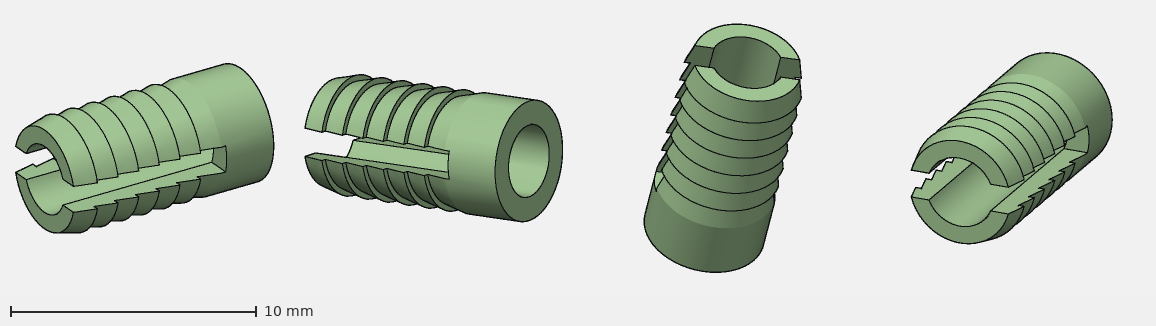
import cadquery as cq

length = 9.5
outer_diameter = 5.0
bore_diameter = 3.0
barb_tip_diameter = 4.5
collar_length = 2.5
barb_count = 7
slot_width = 1.18
slot_length = 7.21

outer_radius = outer_diameter / 2
barb_tip_radius = barb_tip_diameter / 2
bore_radius = bore_diameter / 2
barb_pitch = (length - collar_length) / barb_count


def barbed_sleeve():
    """Revolve the half section about the Y axis; the slotted end lies at Y = 0."""
    profile = cq.Workplane("XY").moveTo(bore_radius, 0)
    for barb in range(barb_count):
        profile = profile.lineTo(barb_tip_radius, barb * barb_pitch)
        profile = profile.lineTo(outer_radius, (barb + 1) * barb_pitch)
    profile = profile.lineTo(outer_radius, length).lineTo(bore_radius, length).close()
    return profile.revolve(360, (0, 0, 0), (0, 1, 0))


def cross_slot():
    """Flat-ended slot through both side walls, open at the barbed end."""
    return cq.Workplane("XY").box(
        outer_diameter, slot_length, slot_width, centered=(True, False, True)
    )


result = barbed_sleeve().cut(cross_slot())